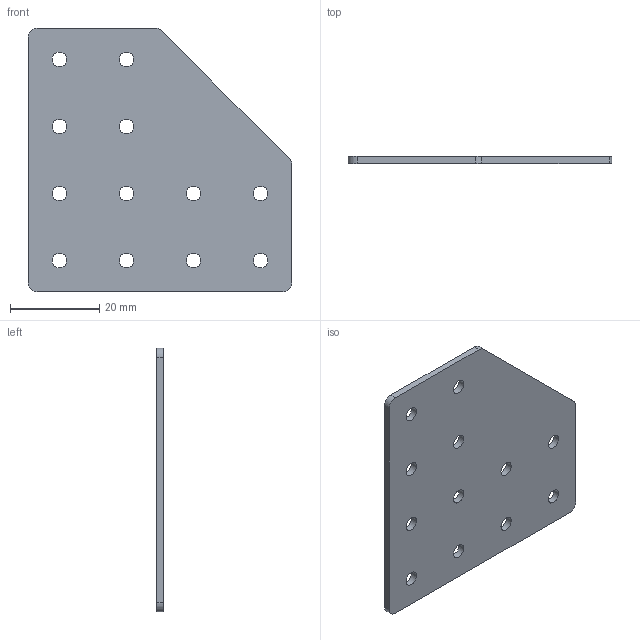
import cadquery as cq

side = 59.0
thickness = 1.5
corner_radius = 2.0
flat_length = 29.29

hole_diameter = 3.25
hole_pitch = 15.0
holes_per_arm = 4
arm_width_in_holes = 2
hole_margin = (side - (holes_per_arm - 1) * hole_pitch) / 2


def hole_centres():
    """Grid positions that lie on the upright arm or on the horizontal arm."""
    centres = []
    for column in range(holes_per_arm):
        for row in range(holes_per_arm):
            if min(column, row) < arm_width_in_holes:
                x = hole_margin + column * hole_pitch
                z = hole_margin + row * hole_pitch
                centres.append((x, z))
    return centres


def make_plate():
    """Square plate with its upper right corner cut off and all corners rounded."""
    outline = [
        (0, 0),
        (side, 0),
        (side, flat_length),
        (flat_length, side),
        (0, side),
    ]
    plate = cq.Workplane("XZ").polyline(outline).close().extrude(-thickness)
    return plate.edges("|Y").fillet(corner_radius)


def make_holes():
    """Through-hole cutters along Y."""
    return (
        cq.Workplane("XZ")
        .pushPoints(hole_centres())
        .circle(hole_diameter / 2)
        .extrude(-thickness)
    )


result = make_plate().cut(make_holes())